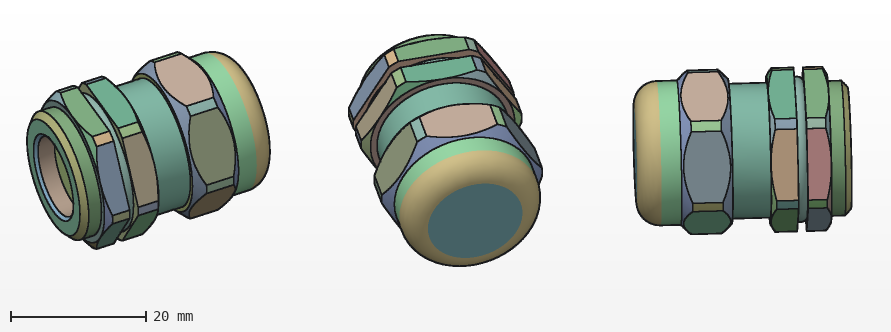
import cadquery as cq
import math

LENGTH = 31.7
ACROSS_FLATS = 22.0
CORNER_DIA = 24.5

THREAD_DIA = 20.0
THREAD_TIP_DIA = 18.0
THREAD_CHAMFER_LENGTH = 0.95

LOCKNUT_START = 3.05
LOCKNUT_END = 6.6
BODY_HEX_START = 8.0
BODY_HEX_END = 11.98
CAP_HEX_START = 17.65
CAP_HEX_END = 25.23

NUT_CHAMFER_ANGLE = 30.0
CAP_CHAMFER_ANGLE = 45.0
CAP_HEX_FACE_DIA = 21.4

CAP_DIA = 21.4
CAP_ROUND = 3.5

SEAL_DIA = 21.55
SEAL_SECTION_RADIUS = 1.05
SEAL_STATION = 7.5

BORE_MOUTH_DIA = 13.5
BORE_DIA = 12.5
BORE_DEPTH = 3.2


def cylinder(diameter, start, end):
    """Cylinder along +Y between two stations."""
    plane = cq.Workplane("XZ", origin=(0, start, 0))
    return plane.circle(diameter / 2).extrude(start - end)


def revolve_about_axis(points):
    """Solid of revolution about Y from the (radius, station) points of a closed profile."""
    return cq.Workplane("XY").polyline(points).close().revolve(360, (0, 0, 0), (0, 1, 0))


def hexagon(start, end, face_dia, chamfer_angle, chamfer_start, chamfer_end):
    """Hexagon with flats facing +Z and -Z, trimmed by a turned, chamfered blank."""
    corner_radius = CORNER_DIA / 2
    face_radius = face_dia / 2
    drop = (corner_radius - face_radius) * math.tan(math.radians(chamfer_angle))
    profile = [(0, start)]
    if chamfer_start:
        profile += [(face_radius, start), (corner_radius, start + drop)]
    else:
        profile += [(corner_radius, start)]
    if chamfer_end:
        profile += [(corner_radius, end - drop), (face_radius, end)]
    else:
        profile += [(corner_radius, end)]
    profile += [(0, end)]
    prism = (
        cq.Workplane("XZ", origin=(0, start, 0))
        .polygon(6, ACROSS_FLATS / math.cos(math.radians(30)))
        .extrude(start - end)
    )
    return prism.intersect(revolve_about_axis(profile))


def threaded_core():
    """Plain core from the chamfered threaded end up to the cap."""
    return revolve_about_axis([
        (0, 0),
        (THREAD_TIP_DIA / 2, 0),
        (THREAD_DIA / 2, THREAD_CHAMFER_LENGTH),
        (THREAD_DIA / 2, CAP_HEX_END),
        (0, CAP_HEX_END),
    ])


def seal():
    """O-ring filling the gap between the locknut and the body hexagon."""
    ring_radius = SEAL_DIA / 2 - SEAL_SECTION_RADIUS

    def outer_radius(station):
        return ring_radius + math.sqrt(SEAL_SECTION_RADIUS**2 - (station - SEAL_STATION) ** 2)

    return (
        cq.Workplane("XY")
        .moveTo(0, LOCKNUT_END)
        .lineTo(outer_radius(LOCKNUT_END), LOCKNUT_END)
        .threePointArc(
            (SEAL_DIA / 2, SEAL_STATION),
            (outer_radius(BODY_HEX_START), BODY_HEX_START),
        )
        .lineTo(0, BODY_HEX_START)
        .close()
        .revolve(360, (0, 0, 0), (0, 1, 0))
    )


def cap():
    """Domed cap at the cable end."""
    return cylinder(CAP_DIA, CAP_HEX_START, LENGTH).faces(">Y").edges().fillet(CAP_ROUND)


def bore():
    """Blind recess with a 45 degree lead-in at the threaded end."""
    lead_in = (BORE_MOUTH_DIA - BORE_DIA) / 2
    return revolve_about_axis([
        (0, 0),
        (BORE_MOUTH_DIA / 2, 0),
        (BORE_DIA / 2, lead_in),
        (BORE_DIA / 2, BORE_DEPTH),
        (0, BORE_DEPTH),
    ])


locknut = hexagon(LOCKNUT_START, LOCKNUT_END, ACROSS_FLATS, NUT_CHAMFER_ANGLE, True, False)
body_hex = hexagon(BODY_HEX_START, BODY_HEX_END, ACROSS_FLATS, NUT_CHAMFER_ANGLE, False, True)
cap_hex = hexagon(CAP_HEX_START, CAP_HEX_END, CAP_HEX_FACE_DIA, CAP_CHAMFER_ANGLE, True, True)

gland = threaded_core()
for section in (locknut, seal(), body_hex, cap_hex, cap()):
    gland = gland.union(section)

result = gland.cut(bore()).translate((0, -LENGTH / 2, 0))